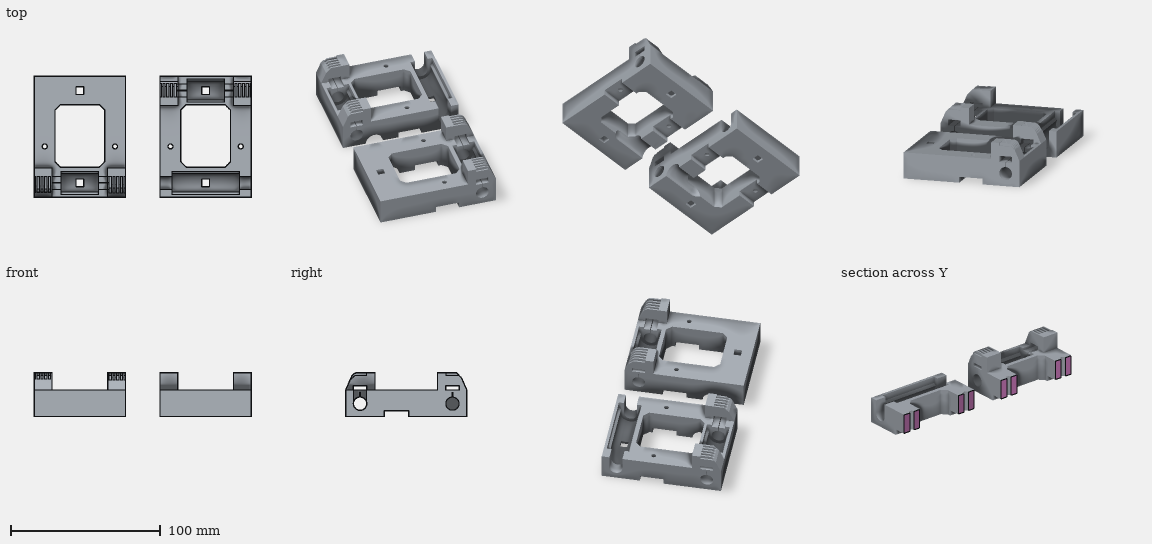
import cadquery as cq
import math

OVERALL_LENGTH = 145.0
BODY_WIDTH = 61.0
BODY_DEPTH = 81.0
BASE_HEIGHT = 18.0
OVERALL_HEIGHT = 29.46
FRAME_OFFSET = OVERALL_LENGTH - BODY_WIDTH
MID_X = BODY_WIDTH / 2

WINDOW_MARGIN_X = 14.0
WINDOW_Y = (20.2, 61.8)
WINDOW_CHAMFER = 3.5

SCREW_HOLE_DIA = 3.2
SCREW_HOLE_MARGIN = 7.0
SCREW_HOLE_Y = 34.0
SQUARE_HOLE = 5.0

NOTCH_Y = (25.9, 42.1)
NOTCH_HEIGHT = 4.0

CHANNEL_RADIUS = 6.0
CHANNEL_Y = 59.0
CHANNEL_LENGTH = 24.0

AXLE_Y = 9.65
AXLE_Z = 8.75
AXLE_DIA = 8.8
SLIT_WIDTH = 0.5

RECESS_FLOOR = 16.3
LUG_OPENING_TOP = 20.6
RECESS_END_DEPTH = 6.0

POCKET_RADIUS = 7.0
POCKET_HALF_MOUTH = 7.7
POCKET_HALF_THROAT = 6.25
POCKET_THROAT_Z = AXLE_Z + math.sqrt(POCKET_RADIUS**2 - POCKET_HALF_THROAT**2)
POCKET_LEDGE_Z = 13.6
NARROW_POCKET = 25.0
WIDE_POCKET = 45.0

LUG_WIDTH = 12.0
LUG_DEPTH = 19.7
LUG_SLOPE_TOP_Y = 5.1
LEFT_LUG_ROUND = 4.0
RIGHT_LUG_ROUND = 5.5
LUG_BEVEL_TOP_Y = 7.0
LUG_BEVEL_LOW_Y = 3.5

GRIP_COUNT = 5
GRIP_PITCH = 2.5
GRIP_WIDTH = 1.5
GRIP_START = 1.0 - GRIP_WIDTH
GRIP_FLOOR = 27.5
GRIP_BACK_Y = AXLE_Y + AXLE_DIA / 2
LEFT_GRIP_RAMP = ((5.6, GRIP_FLOOR), (3.4, 25.3))
RIGHT_GRIP_RAMP = ((6.2, GRIP_FLOOR), (3.0, 24.6))


def block(x_range, y_range, z_range):
    """Axis-aligned box spanning the given ranges."""
    size = [high - low for low, high in (x_range, y_range, z_range)]
    corner = (x_range[0], y_range[0], z_range[0])
    return cq.Workplane("XY").box(*size, centered=False).translate(corner)


def extrude_along_x(profile, x_start, length):
    """Prism of a closed list of (Y, Z) points."""
    return cq.Workplane("YZ").polyline(profile).close().extrude(length).translate((x_start, 0, 0))


def rod_along_x(y, z, radius, x_start, length):
    return cq.Workplane("YZ").center(y, z).circle(radius).extrude(length).translate((x_start, 0, 0))


def mirror_across_depth(shape):
    return shape.mirror("XZ").translate((0, BODY_DEPTH, 0))


def mirror_across_width(shape):
    return shape.mirror("YZ").translate((BODY_WIDTH, 0, 0))


def plate():
    full_x = (0, BODY_WIDTH)
    body = block(full_x, (0, BODY_DEPTH), (0, BASE_HEIGHT))

    window_x = (WINDOW_MARGIN_X, BODY_WIDTH - WINDOW_MARGIN_X)
    window = block(window_x, WINDOW_Y, (0, BASE_HEIGHT)).edges("|Z").chamfer(WINDOW_CHAMFER)
    notch = block(full_x, NOTCH_Y, (0, NOTCH_HEIGHT))

    screw_x = (SCREW_HOLE_MARGIN, BODY_WIDTH - SCREW_HOLE_MARGIN)
    screw_points = [(x, SCREW_HOLE_Y) for x in screw_x]
    screws = cq.Workplane("XY").pushPoints(screw_points).circle(SCREW_HOLE_DIA / 2).extrude(BASE_HEIGHT)

    square_points = [(MID_X, y) for y in (AXLE_Y, BODY_DEPTH - AXLE_Y)]
    squares = cq.Workplane("XY").pushPoints(square_points).rect(SQUARE_HOLE, SQUARE_HOLE).extrude(BASE_HEIGHT)
    return body.cut(window).cut(notch).cut(screws).cut(squares)


def cable_channel():
    """Half-round groove from the +X side with a ball end."""
    end_x = BODY_WIDTH - CHANNEL_LENGTH
    ball = cq.Workplane("XY").sphere(CHANNEL_RADIUS).translate((end_x, CHANNEL_Y, 0))
    return rod_along_x(CHANNEL_Y, 0, CHANNEL_RADIUS, end_x, CHANNEL_LENGTH).union(ball)


def axle_bore():
    return rod_along_x(AXLE_Y, AXLE_Z, AXLE_DIA / 2, 0, BODY_WIDTH)


def axle_pocket(length):
    """Round pocket with a throat that flares to a wider, straight mouth."""
    x_start = MID_X - length / 2
    throat_front = AXLE_Y - POCKET_HALF_THROAT
    throat_back = AXLE_Y + POCKET_HALF_THROAT
    mouth_front = AXLE_Y - POCKET_HALF_MOUTH
    mouth_back = AXLE_Y + POCKET_HALF_MOUTH
    mouth_profile = [
        (throat_front, AXLE_Z),
        (throat_front, POCKET_THROAT_Z),
        (mouth_front, POCKET_LEDGE_Z),
        (mouth_front, BASE_HEIGHT),
        (mouth_back, BASE_HEIGHT),
        (mouth_back, POCKET_LEDGE_Z),
        (throat_back, POCKET_THROAT_Z),
        (throat_back, AXLE_Z),
    ]
    mouth = extrude_along_x(mouth_profile, x_start, length)
    return mouth.union(rod_along_x(AXLE_Y, AXLE_Z, POCKET_RADIUS, x_start, length))


def axle_recess():
    """Shallow recess, lug openings and the slit that joins them to the bore."""
    recess_y = (AXLE_Y - AXLE_DIA / 2, AXLE_Y + AXLE_DIA / 2)
    slit_y = (AXLE_Y - SLIT_WIDTH / 2, AXLE_Y + SLIT_WIDTH / 2)
    recess_x = (0, BODY_WIDTH - LUG_WIDTH + RECESS_END_DEPTH)
    recess = block(recess_x, recess_y, (RECESS_FLOOR, LUG_OPENING_TOP))
    openings = block((0, BODY_WIDTH), recess_y, (BASE_HEIGHT, LUG_OPENING_TOP))
    slit = block((0, BODY_WIDTH), slit_y, (AXLE_Z, RECESS_FLOOR))
    return recess.union(openings).union(slit)


def open_channel():
    """Axle-wide channel from the bore up through the top face."""
    channel_y = (AXLE_Y - AXLE_DIA / 2, AXLE_Y + AXLE_DIA / 2)
    return block((0, BODY_WIDTH), channel_y, (AXLE_Z, BASE_HEIGHT))


def cut_grips(lug, grip_profile):
    for index in range(GRIP_COUNT):
        slot_x = GRIP_START + index * GRIP_PITCH
        lug = lug.cut(extrude_along_x(grip_profile, slot_x, GRIP_WIDTH))
    return lug


def rounded_lug(round_radius, ramp):
    """Lug with a rounded top edge and grip slots that run down its slope."""
    profile = [
        (0, BASE_HEIGHT),
        (LUG_SLOPE_TOP_Y, OVERALL_HEIGHT),
        (LUG_DEPTH, OVERALL_HEIGHT),
        (LUG_DEPTH, BASE_HEIGHT),
    ]
    lug = extrude_along_x(profile, 0, LUG_WIDTH)
    lug = lug.edges("|X and >Z").edges("<Y").fillet(round_radius)
    ramp_top, ramp_end = ramp
    grip_profile = [
        (GRIP_BACK_Y, GRIP_FLOOR),
        ramp_top,
        ramp_end,
        (0, ramp_end[1]),
        (0, OVERALL_HEIGHT),
        (GRIP_BACK_Y, OVERALL_HEIGHT),
    ]
    return cut_grips(lug, grip_profile)


def bevelled_lug():
    """Lug with a flat bevel on its top edge and level grip slots."""
    bevel_low_z = BASE_HEIGHT + LUG_BEVEL_LOW_Y * (OVERALL_HEIGHT - BASE_HEIGHT) / LUG_SLOPE_TOP_Y
    profile = [
        (0, BASE_HEIGHT),
        (LUG_BEVEL_LOW_Y, bevel_low_z),
        (LUG_BEVEL_TOP_Y, OVERALL_HEIGHT),
        (LUG_DEPTH, OVERALL_HEIGHT),
        (LUG_DEPTH, BASE_HEIGHT),
    ]
    grip_profile = [
        (0, GRIP_FLOOR),
        (0, OVERALL_HEIGHT),
        (GRIP_BACK_Y, OVERALL_HEIGHT),
        (GRIP_BACK_Y, GRIP_FLOOR),
    ]
    return cut_grips(extrude_along_x(profile, 0, LUG_WIDTH), grip_profile)


def lugged_edge_cuts():
    return [axle_bore(), axle_recess(), axle_pocket(NARROW_POCKET)]


def cut_all(body, cutters):
    for cutter in cutters:
        body = body.cut(cutter)
    return body


def plain_frame():
    body = plate()
    body = body.union(rounded_lug(LEFT_LUG_ROUND, LEFT_GRIP_RAMP))
    body = body.union(mirror_across_width(rounded_lug(RIGHT_LUG_ROUND, RIGHT_GRIP_RAMP)))
    return cut_all(body, lugged_edge_cuts() + [cable_channel()])


def grooved_frame():
    body = plate()
    lug = mirror_across_depth(bevelled_lug())
    body = body.union(lug).union(mirror_across_width(lug))
    body = cut_all(body, [mirror_across_depth(cutter) for cutter in lugged_edge_cuts()])
    groove = [axle_bore(), open_channel(), axle_pocket(WIDE_POCKET)]
    body = cut_all(body, groove + [mirror_across_width(cable_channel())])
    return body.translate((FRAME_OFFSET, 0, 0))


plain = plain_frame()
grooved = grooved_frame()
result = cq.Compound.makeCompound([plain.val(), grooved.val()])